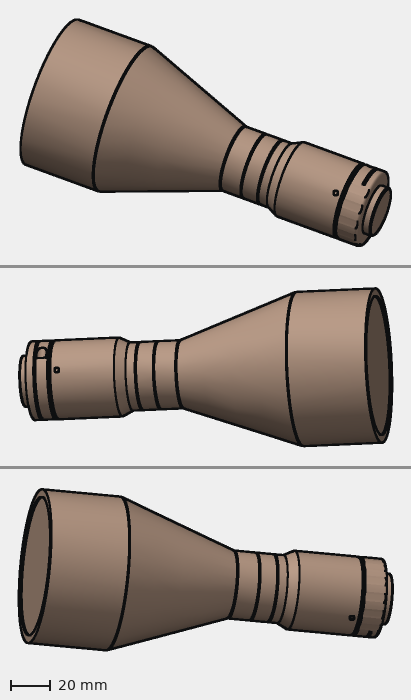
import cadquery as cq
import math

LENGTH = 181.9

FRONT_DIAMETER = 78.0
FRONT_RADIUS = FRONT_DIAMETER / 2
CONE_START = 40.4
CONE_END = 100.8

NECK_RADIUS = 17.3
NECK_END = 126.5
NECK_JOINTS = (112.2, 121.5)
JOINT_WIDTH = 0.7
JOINT_DEPTH = 0.2

BARREL_START = 132.0
BARREL_RADIUS = 20.0
BARREL_END = 165.1
GAP_CHAMFER = 0.5
GAP_RADIUS = BARREL_RADIUS - GAP_CHAMFER

RING_START = 165.7
RING_END = 177.5
RING_REAR_FILLET = 1.3

BOSS_RADIUS = 13.0
BOSS_CHAMFER = 0.5

FLUTE_PITCH = 25.0
FLUTES_PER_SIDE = 3
FLUTE_DEPTH = 0.2
FLUTE_TOP_WIDTH = 4.7
FLUTE_FLOOR_WIDTH = 2.7

SLIT_START = 172.2
SLIT_WIDTH = 1.1
SLIT_DEPTH = 2.7
SLIT_END_Y = -1.1
POCKET_RADIUS = 2.5
POCKET_X = 169.5
POCKET_Y = 17.6
POCKET_FLOOR_Z = 7.0

SCREW_X = 161.3
SCREW_DIAMETER = 2.4
SCREW_DEPTH = 0.7
SCREW_COUNT = 3
SCREW_FIRST_ANGLE = 60.0

LENS_RADIUS = 35.1
LENS_SETBACK = 0.7
LENS_THICKNESS = 3.6

X_AXIS = ((0, 0, 0), (1, 0, 0))


def housing_blank():
    """Full outer shape, revolved about X."""
    fillet_mid = RING_REAR_FILLET * (1 - math.sqrt(0.5))
    profile = (
        cq.Workplane("XY")
        .moveTo(0, 0)
        .lineTo(0, FRONT_RADIUS)
        .lineTo(CONE_START, FRONT_RADIUS)
        .lineTo(CONE_END, NECK_RADIUS)
        .lineTo(NECK_END, NECK_RADIUS)
        .lineTo(BARREL_START, BARREL_RADIUS)
        .lineTo(BARREL_END - GAP_CHAMFER, BARREL_RADIUS)
        .lineTo(BARREL_END, GAP_RADIUS)
        .lineTo(RING_START, GAP_RADIUS)
        .lineTo(RING_START + GAP_CHAMFER, BARREL_RADIUS)
        .lineTo(RING_END - RING_REAR_FILLET, BARREL_RADIUS)
        .threePointArc(
            (RING_END - fillet_mid, BARREL_RADIUS - fillet_mid),
            (RING_END, BARREL_RADIUS - RING_REAR_FILLET),
        )
        .lineTo(RING_END, BOSS_RADIUS)
        .lineTo(LENGTH - BOSS_CHAMFER, BOSS_RADIUS)
        .lineTo(LENGTH, BOSS_RADIUS - BOSS_CHAMFER)
        .lineTo(LENGTH, 0)
        .close()
    )
    return profile.revolve(360, *X_AXIS)


def joint_groove(x, radius):
    """Shallow V groove around a surface of the given radius."""
    half = JOINT_WIDTH / 2
    return (
        cq.Workplane("XY")
        .polyline([
            (x - half, radius),
            (x, radius - JOINT_DEPTH),
            (x + half, radius),
            (x, radius + JOINT_WIDTH),
        ])
        .close()
        .revolve(360, *X_AXIS)
    )


def lens_disc(start, end):
    """Round disc on the X axis between two X positions."""
    return cq.Workplane("YZ", origin=(start, 0, 0)).circle(LENS_RADIUS).extrude(end - start)


def flute(angle):
    """Trapezoidal groove along X; angle is measured from -Y toward +Z."""
    floor_radius = BARREL_RADIUS - FLUTE_DEPTH
    half_floor = FLUTE_FLOOR_WIDTH / 2
    half_top = FLUTE_TOP_WIDTH / 2
    edge_radius = math.sqrt(BARREL_RADIUS**2 - half_top**2)
    clear_radius = BARREL_RADIUS + FLUTE_DEPTH
    return (
        cq.Workplane("YZ", origin=(RING_START, 0, 0))
        .polyline([
            (-floor_radius, -half_floor),
            (-floor_radius, half_floor),
            (-edge_radius, half_top),
            (-clear_radius, half_top),
            (-clear_radius, -half_top),
            (-edge_radius, -half_top),
        ])
        .close()
        .extrude(RING_END - RING_START)
        .rotate(*X_AXIS, -angle)
    )


def clamp_slit():
    """Circumferential saw cut, ending on a plane just past the crown."""
    reach = 2 * BARREL_RADIUS
    annulus = (
        cq.Workplane("YZ", origin=(SLIT_START, 0, 0))
        .circle(reach)
        .circle(BARREL_RADIUS - SLIT_DEPTH)
        .extrude(SLIT_WIDTH)
    )
    cut_side = cq.Workplane("XY").box(SLIT_WIDTH, reach, 2 * reach, centered=(False, False, True))
    return annulus.intersect(cut_side.translate((SLIT_START, SLIT_END_Y, 0)))


def screw_pocket():
    """Clamp screw pocket, bored downward along -Z."""
    return (
        cq.Workplane("XY", origin=(POCKET_X, POCKET_Y, POCKET_FLOOR_Z))
        .circle(POCKET_RADIUS)
        .extrude(BARREL_RADIUS)
    )


def set_screw_hole(angle):
    """Blind radial hole; angle is measured from -Y toward +Z."""
    return (
        cq.Workplane("XZ", origin=(SCREW_X, SCREW_DEPTH - BARREL_RADIUS, 0))
        .circle(SCREW_DIAMETER / 2)
        .extrude(2 * SCREW_DEPTH)
        .rotate(*X_AXIS, -angle)
    )


def make_housing():
    body = housing_blank()
    body = body.cut(lens_disc(0, LENS_SETBACK + LENS_THICKNESS))
    body = body.cut(joint_groove(CONE_START, FRONT_RADIUS))
    for x in (CONE_END, *NECK_JOINTS):
        body = body.cut(joint_groove(x, NECK_RADIUS))
    for step in range(-FLUTES_PER_SIDE, FLUTES_PER_SIDE + 1):
        body = body.cut(flute(step * FLUTE_PITCH))
    body = body.cut(clamp_slit())
    body = body.cut(screw_pocket())
    for i in range(SCREW_COUNT):
        body = body.cut(set_screw_hole(SCREW_FIRST_ANGLE + i * 360 / SCREW_COUNT))
    return body


def make_lens():
    return lens_disc(LENS_SETBACK, LENS_SETBACK + LENS_THICKNESS)


housing = make_housing()
lens = make_lens()

result = cq.Compound.makeCompound([housing.val(), lens.val()])